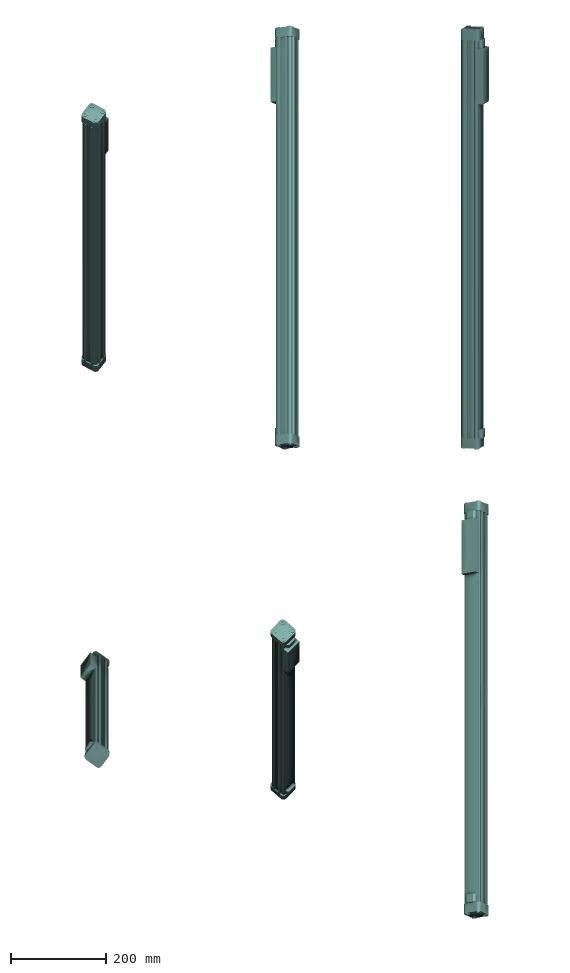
import cadquery as cq


total_length = 901.0
screw_offset = 13.5

cap_width = 41.0
cap_thickness = 21.0
cap_corner_radius = cap_width / 2 - screw_offset
screw_head_diameter = 11.0
screw_head_height = 2.0
socket_diameter = 5.0
socket_depth = screw_head_height

boss_diameter = 8.6
side_lip_outer = cap_width / 2
bottom_lip_outer = 22.0
slot_half_width = 5.0
slot_depth = 4.0
lip_half_width = 10.0
bottom_lip_chamfer = 2.0
barrel_top = screw_offset + boss_diameter / 2
top_ledge_thickness = 2.0

clamp_length = 18.0
clamp_top = 25.0
clamp_half_width = 12.0
clamp_chamfer = 4.0

carriage_width = 35.0
carriage_length = 117.0
carriage_top = 31.0
carriage_gap = 1.0

cap_outer_z = total_length / 2 - screw_head_height
cap_inner_z = cap_outer_z - cap_thickness
barrel_length = 2 * cap_inner_z
corners = [(x, y) for x in (-screw_offset, screw_offset) for y in (-screw_offset, screw_offset)]


def make_rail(outer, half_width):
    """Solid rail on the -Y side, from the barrel axis out to its lip face."""
    return cq.Workplane("XY").center(0, -outer / 2).rect(2 * half_width, outer).extrude(barrel_length)


def make_slot(outer):
    """Slot volume that splits a rail on the -Y side into two lips."""
    return (
        cq.Workplane("XY")
        .center(0, -outer + slot_depth / 2)
        .rect(2 * slot_half_width, slot_depth)
        .extrude(barrel_length)
    )


def make_barrel():
    """Barrel section with corner columns, slotted rails on three sides and a flat +Y top."""
    core_height = screw_offset + barrel_top
    core = (
        cq.Workplane("XY")
        .center(0, barrel_top - core_height / 2)
        .rect(2 * screw_offset, core_height)
        .extrude(barrel_length)
    )
    ledge = (
        cq.Workplane("XY")
        .center(0, barrel_top - top_ledge_thickness / 2)
        .rect(carriage_width, top_ledge_thickness)
        .extrude(barrel_length)
    )
    columns = cq.Workplane("XY").pushPoints(corners).circle(boss_diameter / 2).extrude(barrel_length)
    barrel = core.union(ledge).union(columns)

    side_rail = make_rail(side_lip_outer, lip_half_width).cut(make_slot(side_lip_outer))
    for angle in (-90, 90):
        barrel = barrel.union(side_rail.rotate((0, 0, 0), (0, 0, 1), angle))

    bottom_rail = make_rail(bottom_lip_outer, lip_half_width + bottom_lip_chamfer)
    bottom_rail = bottom_rail.faces("<Y").edges("|Z").chamfer(bottom_lip_chamfer)
    barrel = barrel.union(bottom_rail.cut(make_slot(bottom_lip_outer)))
    return barrel.translate((0, 0, -cap_inner_z))


def make_carriage():
    """Plain block on the flat top of the barrel, close to the upper clamp."""
    height = carriage_top - barrel_top
    end_z = cap_inner_z - clamp_length - carriage_gap
    return cq.Workplane("XY").box(carriage_width, height, carriage_length).translate(
        (0, barrel_top + height / 2, end_z - carriage_length / 2)
    )


def make_clamp():
    """Bridge with sloped shoulders that reaches from the upper cap over the barrel top."""
    shoulder = clamp_top - clamp_chamfer
    top_half_width = clamp_half_width - clamp_chamfer
    return (
        cq.Workplane("XY")
        .workplane(offset=cap_inner_z - clamp_length)
        .moveTo(-clamp_half_width, barrel_top)
        .lineTo(clamp_half_width, barrel_top)
        .lineTo(clamp_half_width, shoulder)
        .lineTo(top_half_width, clamp_top)
        .lineTo(-top_half_width, clamp_top)
        .lineTo(-clamp_half_width, shoulder)
        .close()
        .extrude(clamp_length)
    )


def make_end_cap():
    """Upper end cap with its clamp and four raised, socketed screw heads."""
    cap = (
        cq.Workplane("XY")
        .workplane(offset=cap_inner_z)
        .rect(cap_width, cap_width)
        .extrude(cap_thickness)
        .edges("|Z")
        .fillet(cap_corner_radius)
    )
    heads = (
        cq.Workplane("XY")
        .workplane(offset=cap_outer_z)
        .pushPoints(corners)
        .circle(screw_head_diameter / 2)
        .extrude(screw_head_height)
    )
    sockets = (
        cq.Workplane("XY")
        .workplane(offset=total_length / 2)
        .pushPoints(corners)
        .circle(socket_diameter / 2)
        .extrude(-socket_depth)
    )
    return cap.union(heads).union(make_clamp()).cut(sockets)


barrel_with_carriage = make_barrel().union(make_carriage())

upper_cap = make_end_cap()
end_caps = [upper_cap, upper_cap.mirror("XY")]

result = cq.Compound.makeCompound([barrel_with_carriage.val(), *[cap.val() for cap in end_caps]])